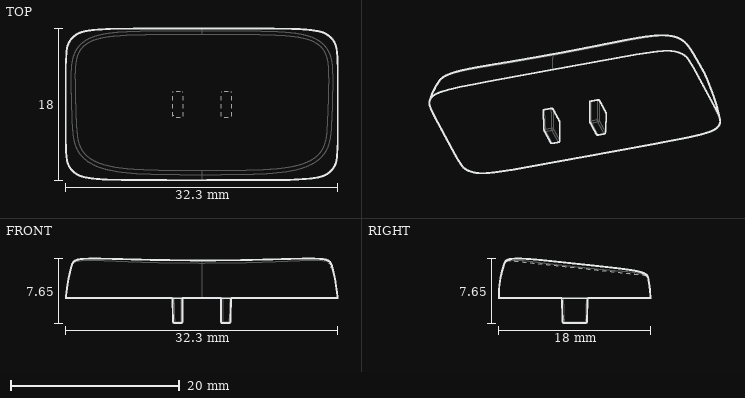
import cadquery as cq
import math

LENGTH = 32.27
WIDTH = 18.0
HALF_OUTLINE_STEPS = 32

BASE_OUTLINE = dict(height=0.0, end_lean=0.0, low_lean=0.0, tall_lean=0.0, exponent=8.3)
MIDDLE_OUTLINE = dict(height=2.25, end_lean=0.32, low_lean=0.25, tall_lean=0.15, exponent=6.1)
UPPER_OUTLINE = dict(height=5.15, end_lean=1.13, low_lean=1.15, tall_lean=1.1, exponent=4.1)

CENTRE_HEIGHT = 3.6
TILT = 6.2
DISH_RADIUS = 232.35
RIM_FILLET = 0.5

LEG_SPACING = 5.68
LEG_LENGTH = 2.97
LEG_THICKNESS = 1.13
LEG_WIDTH = 2.9
LEG_TAPER = 0.1
LEG_FILLET = 0.2


def superellipse_outline(height, end_lean, low_lean, tall_lean, exponent):
    """Closed outline at the given height, made of two mirrored curves that meet at X = 0."""
    half_length = LENGTH / 2 - end_lean
    half_width = (WIDTH - low_lean - tall_lean) / 2
    centre_y = (tall_lean - low_lean) / 2
    right_points = []
    for step in range(HALF_OUTLINE_STEPS + 1):
        angle = math.pi * (step / HALF_OUTLINE_STEPS - 0.5)
        across = math.cos(angle)
        along = math.sin(angle)
        reach = (abs(across) ** exponent + abs(along) ** exponent) ** (-1 / exponent)
        right_points.append(
            cq.Vector(half_length * reach * across, centre_y + half_width * reach * along, height)
        )
    left_points = [cq.Vector(-point.x, point.y, height) for point in reversed(right_points)]
    rightward = cq.Vector(1, 0, 0)
    right_half = cq.Edge.makeSpline(right_points, tangents=[rightward, -rightward])
    left_half = cq.Edge.makeSpline(left_points, tangents=[-rightward, rightward])
    return cq.Wire.assembleEdges([right_half, left_half])


def make_dish_cutter():
    """Large cylinder whose underside hollows and tilts the top face."""
    axis_y = -math.sin(math.radians(TILT))
    direction = cq.Vector(0, math.cos(math.radians(TILT)), axis_y)
    normal = cq.Vector(0, -axis_y, direction.y)
    centre = cq.Vector(0, 0, CENTRE_HEIGHT) + normal * DISH_RADIUS
    start = centre - direction * LENGTH
    return cq.Solid.makeCylinder(DISH_RADIUS, 2 * LENGTH, start, direction)


def make_body():
    """Solid skirt with the dished top and a rounded rim."""
    outlines = (BASE_OUTLINE, MIDDLE_OUTLINE, UPPER_OUTLINE)
    skirt = cq.Solid.makeLoft([superellipse_outline(**outline) for outline in outlines])
    body = cq.Workplane(skirt).cut(cq.Workplane(make_dish_cutter()))
    return body.faces(">Z").edges().fillet(RIM_FILLET)


def make_leg(side):
    """Clip leg at +X (side = 1) or -X (side = -1), its outer face and flanks leaning in going down."""
    centre = side * LEG_SPACING / 2
    leg = (
        cq.Workplane("XY", origin=(centre, 0, -LEG_LENGTH))
        .rect(LEG_THICKNESS, LEG_WIDTH)
        .workplane(offset=LEG_LENGTH)
        .center(side * LEG_TAPER / 2, 0)
        .rect(LEG_THICKNESS + LEG_TAPER, LEG_WIDTH + 2 * LEG_TAPER)
        .loft()
    )
    return leg.edges("not >Z").fillet(LEG_FILLET)


result = make_body()
for side in (-1, 1):
    result = result.union(make_leg(side))